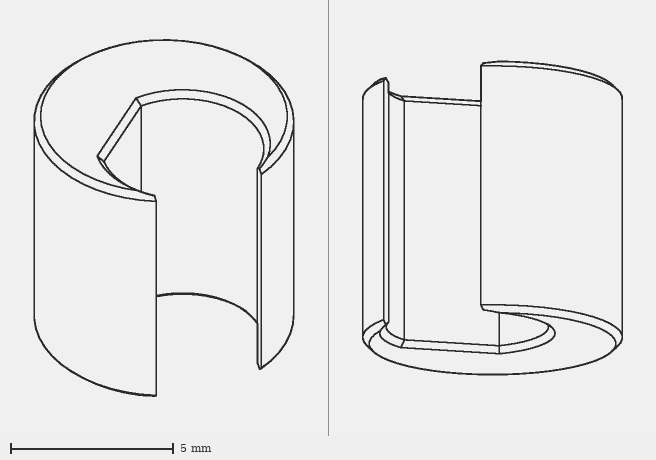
import cadquery as cq

outer_radius = 4.0
height = 8.0
chamfer = 0.2

bore_radius = 2.5
bore_center_x = 1.5
flat_distance = 2.0
flat_angle = 225.0

slot_width = 3.5


def make_body():
    """Cylinder with both rims chamfered."""
    return cq.Workplane("XY").circle(outer_radius).extrude(height).edges().chamfer(chamfer)


def flared_profile(inner, reach):
    """XZ section from x = inner to x = reach, where reach widens by the chamfer at both ends."""
    flared_reach = reach + chamfer
    return (
        cq.Workplane("XZ")
        .moveTo(inner, 0)
        .lineTo(flared_reach, 0)
        .lineTo(reach, chamfer)
        .lineTo(reach, height - chamfer)
        .lineTo(flared_reach, height)
        .lineTo(inner, height)
        .close()
    )


def make_bore():
    """D-shaped bore volume with chamfers at both mouths."""
    round_bore = flared_profile(0, bore_radius).revolve(360, (0, 0), (0, 1))
    flat_limit = flared_profile(-2 * bore_radius, flat_distance).extrude(2 * bore_radius, both=True)
    flat_limit = flat_limit.rotate((0, 0, 0), (0, 0, 1), flat_angle)
    return round_bore.intersect(flat_limit).translate((bore_center_x, 0, 0))


def make_slot():
    """Straight opening from the bore axis out through the +X side."""
    slot = cq.Workplane("XY").box(outer_radius, slot_width, height, centered=(False, True, False))
    return slot.translate((bore_center_x, 0, 0))


result = make_body().cut(make_bore()).cut(make_slot())